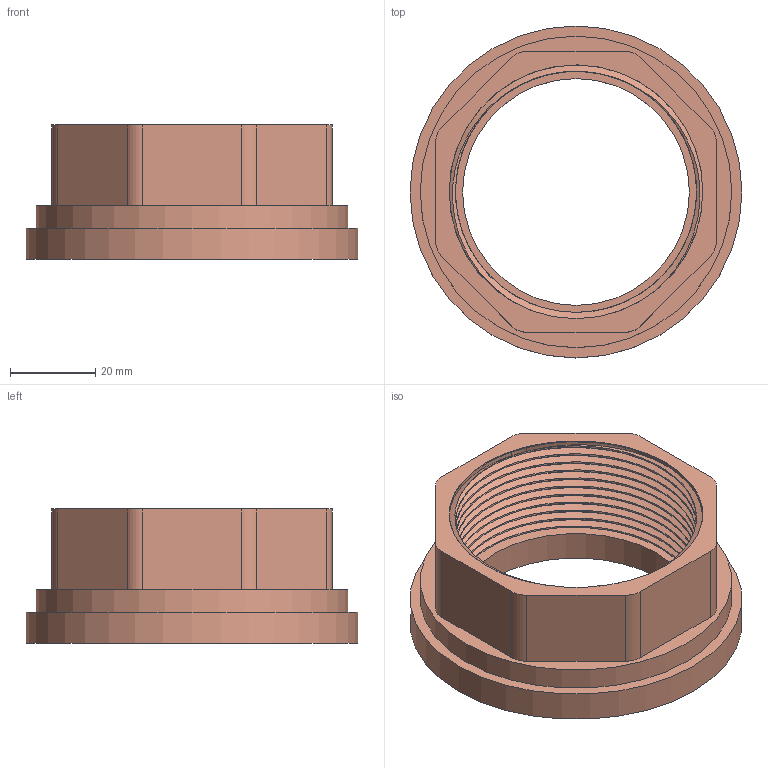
import cadquery as cq
import math

HEIGHT = 31.5
FLANGE_TOP = 7.25
COLLAR_TOP = 12.5

FLANGE_DIAMETER = 78.0
COLLAR_DIAMETER = 73.2

ACROSS_FLATS = 66.0
OCTAGON_SIDES = 8
OCTAGON_CORNER_RADIUS = 5.0

PLAIN_BORE_DIAMETER = 53.3
PLAIN_BORE_TOP = 7.0

THREAD_MINOR_DIAMETER = 56.66
THREAD_MAJOR_DIAMETER = 59.61
THREAD_PITCH = 25.4 / 11
FLANK_HALF_ANGLE = 27.5
TOP_RECESS_DEPTH = 0.25
THREAD_TOP = HEIGHT - TOP_RECESS_DEPTH
THREAD_EXIT_ANGLE = 95.0
RUN_OUT_TURNS = 1.5
WALL_OVERLAP = 0.2

minor_radius = THREAD_MINOR_DIAMETER / 2
major_radius = THREAD_MAJOR_DIAMETER / 2
thread_depth = major_radius - minor_radius


def make_outer_body():
    """Stepped round flange and collar carrying the rounded octagon."""
    flange = cq.Workplane("XY").circle(FLANGE_DIAMETER / 2).extrude(FLANGE_TOP)
    collar = cq.Workplane("XY").circle(COLLAR_DIAMETER / 2).extrude(COLLAR_TOP)
    corner_diameter = ACROSS_FLATS / math.cos(math.pi / OCTAGON_SIDES)
    octagon = (
        cq.Workplane("XY")
        .transformed(rotate=(0, 0, 180 / OCTAGON_SIDES))
        .polygon(OCTAGON_SIDES, corner_diameter)
        .extrude(HEIGHT)
        .edges("|Z")
        .fillet(OCTAGON_CORNER_RADIUS)
    )
    return flange.union(collar).union(octagon)


def make_bore():
    """Plain bore opening into the wider bore that carries the thread."""
    plain_bore = cq.Workplane("XY").circle(PLAIN_BORE_DIAMETER / 2).extrude(PLAIN_BORE_TOP)
    thread_bore = (
        cq.Workplane("XY", origin=(0, 0, PLAIN_BORE_TOP))
        .circle(major_radius)
        .extrude(HEIGHT - PLAIN_BORE_TOP)
    )
    return plain_bore.union(thread_bore)


def make_thread_ridge():
    """Helical trapezoid ridge on the bore wall, trimmed level with both ends of the thread."""
    slope = math.tan(math.radians(FLANK_HALF_ANGLE))
    crest_half = (THREAD_PITCH / 2 - thread_depth * slope) / 2
    base_half = crest_half + (thread_depth + WALL_OVERLAP) * slope
    base_radius = major_radius + WALL_OVERLAP
    thread_length = THREAD_TOP - PLAIN_BORE_TOP
    run_out = RUN_OUT_TURNS * THREAD_PITCH
    ridge_height = thread_length + 2 * run_out
    start_height = PLAIN_BORE_TOP - run_out
    start_angle = THREAD_EXIT_ANGLE - 360 * (THREAD_TOP - start_height) / THREAD_PITCH
    helix = cq.Wire.makeHelix(THREAD_PITCH, ridge_height, minor_radius)
    ridge = (
        cq.Workplane("XZ")
        .moveTo(minor_radius, -crest_half)
        .lineTo(base_radius, -base_half)
        .lineTo(base_radius, base_half)
        .lineTo(minor_radius, crest_half)
        .close()
        .sweep(cq.Workplane(helix), isFrenet=True)
        .rotate((0, 0, 0), (0, 0, 1), start_angle)
        .translate((0, 0, start_height))
    )
    thread_zone = (
        cq.Workplane("XY", origin=(0, 0, PLAIN_BORE_TOP))
        .circle(COLLAR_DIAMETER / 2)
        .extrude(thread_length)
    )
    return ridge.intersect(thread_zone)


result = make_outer_body().cut(make_bore()).union(make_thread_ridge())